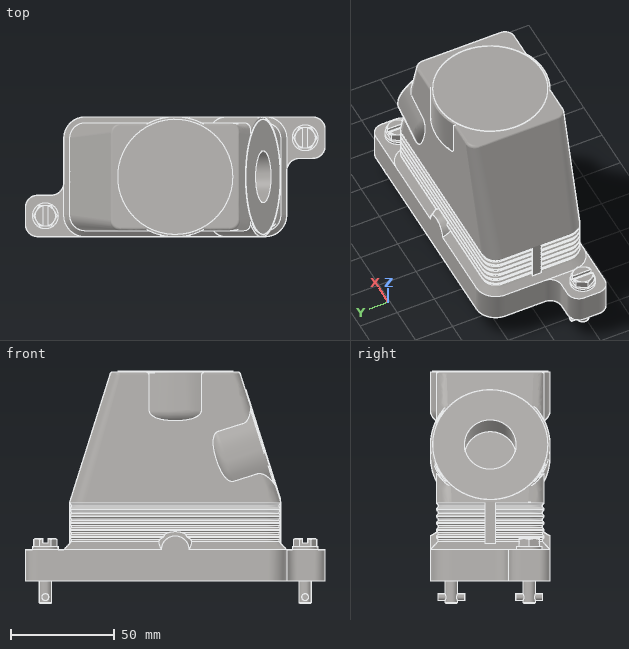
import cadquery as cq
import math

flange_half_x = 54.0
flange_half_y = 29.0
flange_height = 15.2
flange_corner = 10.5

ear_reach = 72.5
ear_width = 20.2
ear_corner = 6.1

wall_inset = 2.9
chamfer_height = 3.0
wall_half_x = flange_half_x - wall_inset
wall_half_y = flange_half_y - wall_inset

groove_count = 6
groove_pitch = 3.3
groove_depth = 0.9
groove_floor = 0.9
groove_flank = 1.0
pad_width = 5.0
band_bottom = flange_height + chamfer_height
band_top = band_bottom + groove_count * groove_pitch

hood_top = 101.2
top_half_x = 31.2
top_corner = 5.1
top_edge_fillet = 1.5

boss_radius = 29.0
boss_length = 24.4
boss_back_fillet = 5.8
boss_front_fillet = 0.6
boss_pad_radius = 27.8
boss_pad_height = 0.3
side_boss_z = 66.0
entry_hole_diameter = 25.0
entry_hole_depth = 18.8

bump_outer_radius = 6.7
bump_inner_radius = 9.3
bump_depth = 4.4

screw_inset = 9.7
screw_y = 18.8
shank_radius = 3.0
shank_drop = 10.7
tip_chamfer = 0.5
collar_radius = 6.2
collar_height = 1.5
head_across_flats = 9.9
head_height = 3.9
head_bevel_angle = 30.0
slot_width = 2.3
slot_depth = 2.0
cross_pin_radius = 1.67
cross_pin_length = 13.0
cross_pin_z = -7.7
screw_x = ear_reach - screw_inset


def rounded_outline(half_x, half_y, corner, z):
    """Horizontal rectangle with round corners, centred on the Z axis."""
    sketch = cq.Sketch().rect(2 * half_x, 2 * half_y).vertices().fillet(corner)
    return sketch.moved(cq.Location(cq.Vector(0, 0, z)))


def loft_between(lower, upper):
    """Straight-sided solid between two outlines at different heights."""
    return cq.Workplane("XY").placeSketch(lower, upper).loft(ruled=True)


def inset_layer(z_low, inset_low, z_high, inset_high):
    """Layer whose outline lies inside the flange outline by the given insets."""
    lower, upper = (
        rounded_outline(flange_half_x - inset, flange_half_y - inset, flange_corner - inset, z)
        for inset, z in ((inset_low, z_low), (inset_high, z_high))
    )
    return loft_between(lower, upper)


def ear_plate():
    """Ear at the (+X, +Y) corner, running into the flange with a concave fillet."""
    inner_y = flange_half_y - ear_width
    plate = (
        cq.Workplane("XY")
        .moveTo(0, inner_y)
        .lineTo(ear_reach, inner_y)
        .lineTo(ear_reach, flange_half_y)
        .lineTo(0, flange_half_y)
        .close()
        .extrude(flange_height)
        .edges("|Z and >X")
        .fillet(ear_corner)
    )
    root = (
        cq.Workplane("XY")
        .moveTo(flange_half_x, inner_y)
        .lineTo(flange_half_x + ear_corner, inner_y)
        .radiusArc((flange_half_x, inner_y - ear_corner), -ear_corner)
        .close()
        .extrude(flange_height)
    )
    return plate.union(root)


def flange():
    """Foot plate with two opposite ears and the chamfer above it."""
    body = inset_layer(0, 0, flange_height, 0)
    for turn in (0, 180):
        body = body.union(ear_plate().rotate((0, 0, 0), (0, 0, 1), turn))
    chamfer = inset_layer(flange_height, 0, band_bottom, wall_inset)
    return body.union(chamfer)


def grip_band():
    """Straight wall with grooves all round, interrupted by a plain pad at each end."""
    floor_inset = wall_inset + groove_depth
    crest = groove_pitch - groove_floor - 2 * groove_flank
    groove_profile = (
        (groove_flank, wall_inset, floor_inset),
        (groove_floor, floor_inset, floor_inset),
        (groove_flank, floor_inset, wall_inset),
        (crest, wall_inset, wall_inset),
    )
    band = (
        cq.Workplane("XY", origin=(0, 0, band_bottom))
        .rect(2 * wall_half_x, pad_width)
        .extrude(band_top - band_bottom)
    )
    z = band_bottom
    for _ in range(groove_count):
        for height, inset_low, inset_high in groove_profile:
            band = band.union(inset_layer(z, inset_low, z + height, inset_high))
            z += height
    return band


def tapered_top():
    """Upper hood whose end walls lean inward, with a rounded top edge."""
    foot = rounded_outline(wall_half_x, wall_half_y, flange_corner - wall_inset, band_top)
    head = rounded_outline(top_half_x, wall_half_y, top_corner, hood_top)
    return loft_between(foot, head).faces(">Z").edges().fillet(top_edge_fillet)


def boss(face_plane):
    """Round boss reaching back into the hood, with a thin disc on the face plane."""
    pad = cq.Workplane("XY").circle(boss_pad_radius).extrude(boss_pad_height)
    stepped_boss = (
        cq.Workplane("XY")
        .circle(boss_radius)
        .extrude(-boss_length)
        .faces("<Z")
        .edges()
        .fillet(boss_back_fillet)
        .faces(">Z")
        .edges()
        .fillet(boss_front_fillet)
        .union(pad)
    )
    return cq.Workplane(stepped_boss.val().moved(face_plane.location))


def entry_hole(face_plane):
    """Blind cable hole cut inward from the face of the boss disc."""
    return (
        cq.Workplane(face_plane)
        .workplane(offset=boss_pad_height)
        .circle(entry_hole_diameter / 2)
        .extrude(-entry_hole_depth)
    )


def side_face_plane():
    """Plane on the sloping +X wall, centred on the cable entry."""
    inward_per_rise = (wall_half_x - top_half_x) / (hood_top - band_top)
    slope = math.atan(inward_per_rise)
    face_x = wall_half_x - (side_boss_z - band_top) * inward_per_rise
    return cq.Plane(
        origin=(face_x, 0, side_boss_z),
        xDir=(0, 1, 0),
        normal=(math.cos(slope), 0, math.sin(slope)),
    )


def bump(side):
    """Cone that widens inward from the flange side at side * flange_half_y."""
    return cq.Workplane(
        cq.Solid.makeCone(
            bump_outer_radius,
            bump_inner_radius,
            bump_depth,
            pnt=cq.Vector(0, side * flange_half_y, flange_height),
            dir=cq.Vector(0, -side, 0),
        )
    )


def make_hood():
    """One-piece hood with bosses, flange bumps, cable hole and screw holes."""
    hood = flange().union(grip_band()).union(tapered_top())
    for side in (-1, 1):
        hood = hood.union(bump(side))
    side_plane = side_face_plane()
    for face_plane in (cq.Plane(origin=(0, 0, hood_top)), side_plane):
        hood = hood.union(boss(face_plane))
    hood = hood.cut(entry_hole(side_plane))
    screw_holes = (
        cq.Workplane("XY")
        .pushPoints([(screw_x, screw_y), (-screw_x, -screw_y)])
        .circle(shank_radius)
        .extrude(flange_height)
    )
    return hood.cut(screw_holes)


def screw_head():
    """Slotted hexagon head with its top corners bevelled to a circle."""
    corner_radius = head_across_flats / math.sqrt(3)
    bevel_run = corner_radius - head_across_flats / 2
    bevel_drop = bevel_run * math.tan(math.radians(head_bevel_angle))
    envelope = (
        cq.Workplane("XY")
        .circle(corner_radius)
        .extrude(head_height)
        .faces(">Z")
        .chamfer(bevel_drop, bevel_run)
    )
    slot = (
        cq.Workplane("XY", origin=(0, 0, head_height - slot_depth))
        .rect(slot_width, 2 * corner_radius)
        .extrude(slot_depth)
    )
    hexagon = cq.Workplane("XY").polygon(6, 2 * corner_radius).extrude(head_height)
    return hexagon.intersect(envelope).cut(slot)


def make_screw(x, y):
    """Screw with collar, hexagon head and a cross pin near its tip."""
    shank = (
        cq.Workplane("XY", origin=(0, 0, -shank_drop))
        .circle(shank_radius)
        .extrude(shank_drop + flange_height)
        .faces("<Z")
        .chamfer(tip_chamfer)
    )
    collar = cq.Workplane("XY", origin=(0, 0, flange_height)).circle(collar_radius).extrude(collar_height)
    cross_pin = (
        cq.Workplane("XZ", origin=(0, 0, cross_pin_z))
        .circle(cross_pin_radius)
        .extrude(cross_pin_length / 2, both=True)
    )
    head = screw_head().translate((0, 0, flange_height + collar_height))
    return shank.union(collar).union(head).union(cross_pin).translate((x, y, 0))


hood = make_hood()
screws = [make_screw(side * screw_x, side * screw_y) for side in (-1, 1)]
result = cq.Compound.makeCompound([hood.val(), *(screw.val() for screw in screws)])